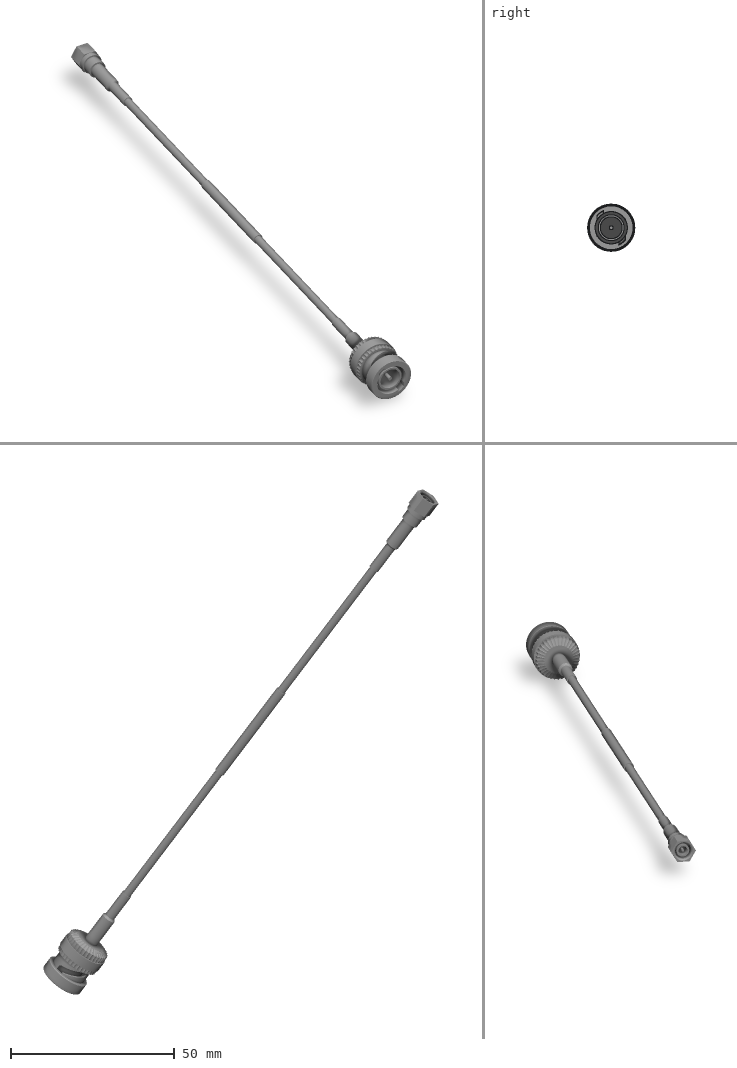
import cadquery as cq
import math


TOTAL_LENGTH = 197.2
NUT_HEX_END = 5.0
NUT_END = 6.5
PLUG_BODY_END = 9.9
PLUG_FERRULE_END = 20.0
PLUG_SLEEVE_END = 29.2
MARKER_START = 79.0
MARKER_END = 112.2
BAYONET_SLEEVE_START = 162.1
BAYONET_FERRULE_START = 171.2
SHELL_START = 181.5
REAR_KNURL_START = 182.5
BAND_START = 184.4
BAND_END = 187.5
SHELL_TUBE_START = 189.1
COLLAR_START = 193.5

CABLE_RADIUS = 1.28
SLEEVE_RADIUS = 1.5
FERRULE_RADIUS = 2.2
FERRULE_CHAMFER = 0.5

NUT_ACROSS_FLATS = 6.7
NUT_CORNER_DIAMETER = NUT_ACROSS_FLATS / math.cos(math.pi / 6)
NUT_FLANGE_RADIUS = 3.25
NUT_BORE_RADIUS = 2.5
NUT_BORE_CHAMFER = 0.4
PLUG_BODY_RADIUS = 2.8
PLUG_BARREL_START = 0.8
PLUG_BARREL_RADIUS = 2.0
PLUG_SOCKET_RADIUS = 1.4
PLUG_SOCKET_END = 5.0
PLUG_PIN_RADIUS = 0.4

SHELL_BACK_RADIUS = 4.7
KNURL_RADIUS = 7.0
BAND_RADIUS = 7.2
SHELL_TUBE_RADIUS = 5.7
SHELL_BORE_RADIUS = 5.0
COLLAR_RADIUS = 7.0
COLLAR_CHAMFER = 0.2
KNURL_COUNT = 36
KNURL_DEPTH_RATIO = 0.05

SLOT_WIDTH = 2.0
SLOT_LOCK_X = 190.3
SLOT_LOCK_Y = 3.4
SLOT_TURN_X = 192.5
SLOT_TURN_Y = -3.4
SLOT_COUNT = 2

BAYONET_BARREL_END = 196.5
BAYONET_BARREL_RADIUS = 4.0
BAYONET_SOCKET_RADIUS = 3.4
BAYONET_PIN_RADIUS = 0.5


def rod(start, end, radius):
    """Solid cylinder on the X axis."""
    return cq.Workplane("YZ", origin=(start, 0, 0)).circle(radius).extrude(end - start)


def tube(start, end, outer_radius, inner_radius):
    """Hollow cylinder on the X axis."""
    return rod(start, end, outer_radius).cut(rod(start, end, inner_radius))


def make_cable():
    return rod(PLUG_BODY_END, SHELL_START, CABLE_RADIUS)


def make_sleeve(start, end):
    """Sleeve fitted around the cable."""
    return tube(start, end, SLEEVE_RADIUS, CABLE_RADIUS)


def make_ferrule(start, end, chamfered_face):
    """Crimp tube around the cable, chamfered where the cable leaves it."""
    ferrule = rod(start, end, FERRULE_RADIUS).faces(chamfered_face).chamfer(FERRULE_CHAMFER)
    return ferrule.cut(rod(start, end, CABLE_RADIUS))


def make_nut():
    hexagon = cq.Workplane("YZ").polygon(6, NUT_CORNER_DIAMETER).extrude(NUT_HEX_END)
    nut = hexagon.union(rod(NUT_HEX_END, NUT_END, NUT_FLANGE_RADIUS))
    nut = nut.cut(rod(0, NUT_END, NUT_BORE_RADIUS))
    return nut.faces("<X").edges("%CIRCLE").chamfer(NUT_BORE_CHAMFER)


def make_plug():
    """Plug body behind the nut, with its contact barrel and pin inside the nut."""
    base = rod(PLUG_SOCKET_END, NUT_END, NUT_BORE_RADIUS)
    barrel = tube(PLUG_BARREL_START, PLUG_SOCKET_END, PLUG_BARREL_RADIUS, PLUG_SOCKET_RADIUS)
    pin = rod(PLUG_BARREL_START, PLUG_SOCKET_END, PLUG_PIN_RADIUS)
    body = rod(NUT_END, PLUG_BODY_END, PLUG_BODY_RADIUS)
    ferrule = make_ferrule(PLUG_BODY_END, PLUG_FERRULE_END, ">X")
    return body.union(base).union(barrel).union(pin).union(ferrule)


def knurl_outline(workplane, crest_radius):
    """Closed ring of equal scallops that meet at sharp crests."""
    floor_radius = crest_radius * (1 - KNURL_DEPTH_RATIO)
    pitch = 2 * math.pi / KNURL_COUNT

    def at(radius, steps):
        return radius * math.cos(steps * pitch), radius * math.sin(steps * pitch)

    outline = workplane.moveTo(*at(crest_radius, 0))
    for index in range(KNURL_COUNT):
        outline = outline.threePointArc(at(floor_radius, index + 0.5), at(crest_radius, index + 1))
    return outline.close()


def make_knurl(start, end):
    """Knurled ring of even size."""
    return knurl_outline(cq.Workplane("YZ", origin=(start, 0, 0)), KNURL_RADIUS).extrude(end - start)


def make_knurled_back():
    """Sloping back of the shell, with the knurl running down it."""
    small_end = knurl_outline(cq.Workplane("YZ", origin=(SHELL_START, 0, 0)), SHELL_BACK_RADIUS)
    large_end = small_end.workplane(offset=REAR_KNURL_START - SHELL_START)
    return knurl_outline(large_end, KNURL_RADIUS).loft(ruled=True)


def make_shell_blank():
    """Outside of the bayonet shell: knurled grip with a smooth band, tube and front collar."""
    collar = rod(COLLAR_START, TOTAL_LENGTH, COLLAR_RADIUS).faces("<X or >X").chamfer(COLLAR_CHAMFER)
    return (
        make_knurled_back()
        .union(make_knurl(REAR_KNURL_START, BAND_START))
        .union(rod(BAND_START, BAND_END, BAND_RADIUS))
        .union(make_knurl(BAND_END, SHELL_TUBE_START))
        .union(rod(SHELL_TUBE_START, COLLAR_START, SHELL_TUBE_RADIUS))
        .union(collar)
    )


def make_bayonet_slot():
    """One bayonet slot through the +Z wall of the tube, leading out under the collar."""
    run_x = SLOT_TURN_X - SLOT_LOCK_X
    run_y = SLOT_TURN_Y - SLOT_LOCK_Y
    slanted = (
        cq.Workplane("XY", origin=((SLOT_LOCK_X + SLOT_TURN_X) / 2, (SLOT_LOCK_Y + SLOT_TURN_Y) / 2, 0))
        .slot2D(math.hypot(run_x, run_y) + SLOT_WIDTH, SLOT_WIDTH, math.degrees(math.atan2(run_y, run_x)))
        .extrude(SHELL_TUBE_RADIUS)
    )
    way_out = cq.Workplane("XY", origin=(SLOT_TURN_X, SLOT_TURN_Y, 0)).box(
        TOTAL_LENGTH - SLOT_TURN_X, SLOT_WIDTH, SHELL_TUBE_RADIUS, centered=(False, True, False)
    )
    return slanted.union(way_out).intersect(rod(SHELL_TUBE_START, TOTAL_LENGTH, SHELL_TUBE_RADIUS))


def make_bayonet_connector():
    shell = make_shell_blank()
    shell = shell.cut(rod(BAND_START, TOTAL_LENGTH, SHELL_BORE_RADIUS))
    slot = make_bayonet_slot()
    for index in range(SLOT_COUNT):
        shell = shell.cut(slot.rotate((0, 0, 0), (1, 0, 0), index * 360 / SLOT_COUNT))
    barrel = tube(BAND_START, BAYONET_BARREL_END, BAYONET_BARREL_RADIUS, BAYONET_SOCKET_RADIUS)
    pin = rod(BAND_START, BAYONET_BARREL_END, BAYONET_PIN_RADIUS)
    ferrule = make_ferrule(BAYONET_FERRULE_START, SHELL_START, "<X")
    return shell.union(barrel).union(pin).union(ferrule)


cable = make_cable()
nut = make_nut()
plug = make_plug()
bayonet_connector = make_bayonet_connector()

SLEEVE_SPANS = [
    (PLUG_FERRULE_END, PLUG_SLEEVE_END),
    (MARKER_START, MARKER_END),
    (BAYONET_SLEEVE_START, BAYONET_FERRULE_START),
]
sleeves = [make_sleeve(start, end).val() for start, end in SLEEVE_SPANS]

result = cq.Compound.makeCompound([
    cable.val(),
    nut.val(),
    plug.val(),
    *sleeves,
    bayonet_connector.val(),
])